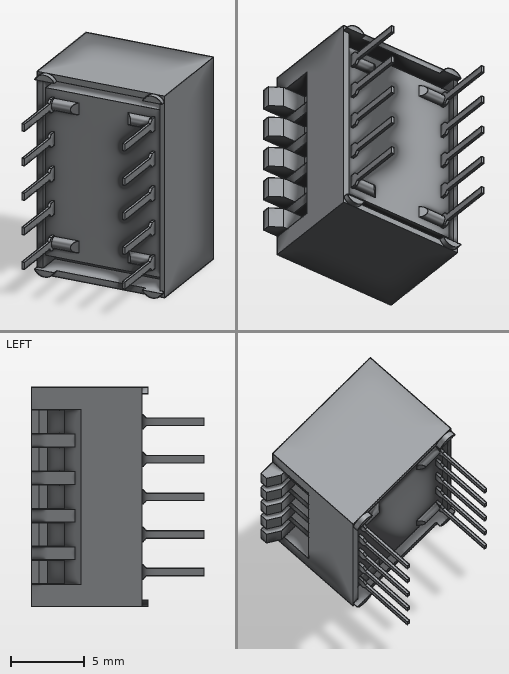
import cadquery as cq
import math


HEIGHT = 14.88
WIDTH = 9.64
DEPTH = 7.51
END_WALL = 0.46
LEVER_SIDE_WALL = 0.46
PLAIN_SIDE_WALL = 0.35
CAVITY_DEPTH = 1.79
LEVER_FACE_X = -WIDTH / 2
FRONT_Y = -DEPTH

POLE_COUNT = 5
POLE_PITCH = 2.55
POLE_HEIGHTS = [(i - (POLE_COUNT - 1) / 2) * POLE_PITCH for i in range(POLE_COUNT)]

SLOT_HEIGHT = 1.68
RIB_HEIGHT = POLE_PITCH - SLOT_HEIGHT
RIB_INSET = 0.65
WINDOW_HEIGHT = (POLE_COUNT - 1) * POLE_PITCH + SLOT_HEIGHT
WINDOW_DEPTH = 3.36
WINDOW_INSET = 2.38

LEVER_HEIGHT = 1.58
LEVER_PROTRUSION = 1.15
LEVER_TIP_DEPTH = 0.52
LEVER_BEVEL_LENGTH = 0.88
LEVER_ARM_DEPTH = 1.09
LEVER_ARM_INSET = 1.49
LEVER_HEEL_DEPTH = 2.23
LEVER_HOLLOW_ANGLE = math.radians(35)
LEVER_HOLLOW_RADIUS = (LEVER_HEEL_DEPTH - LEVER_ARM_DEPTH) / math.sin(LEVER_HOLLOW_ANGLE)
LEVER_HEEL_INSET = LEVER_ARM_INSET + LEVER_HOLLOW_RADIUS * (1 - math.cos(LEVER_HOLLOW_ANGLE))

WINDOW_SLOPE = (WINDOW_DEPTH - LEVER_HEEL_DEPTH) / LEVER_HEEL_INSET
WINDOW_INNER_DEPTH = WINDOW_DEPTH - WINDOW_SLOPE * WINDOW_INSET

FOOT_WIDTH = 1.49
FOOT_LENGTH = 0.4

BASE_RECESS = 0.39
BASE_END_GAP = 0.8
BASE_SIDE_GAP = 0.06
BASE_FACE_Y = FRONT_Y + BASE_RECESS
BASE_BACK_Y = FRONT_Y + CAVITY_DEPTH

PIN_ROW_SPACING = 7.62
PIN_THICKNESS = 0.2
PIN_TIP_Y = -11.71
PIN_STEM_WIDTH = 0.52
PIN_ROOT_WIDTH = 1.0
PIN_TAPER_START_Y = FRONT_Y - 0.05
PIN_TAPER_END_Y = PIN_TAPER_START_Y - (PIN_ROOT_WIDTH - PIN_STEM_WIDTH) / 2

BOSS_RADIUS = 0.43
BOSS_REACH = 1.96


def box(x_min, x_max, y_min, y_max, z_min, z_max):
    """Block between the given limits."""
    size = (x_max - x_min, y_max - y_min, z_max - z_min)
    return cq.Workplane("XY").box(*size, centered=False).translate((x_min, y_min, z_min))


def extrude_in_z(profile, height, z_centre):
    """Extrude an XY profile symmetrically about a height."""
    return profile.extrude(height / 2, both=True).translate((0, 0, z_centre))


def make_lever_window():
    """Opening for the levers, open at the back, less the ribs between the poles."""
    profile = (
        cq.Workplane("XY")
        .moveTo(LEVER_FACE_X, 0)
        .lineTo(LEVER_FACE_X, -WINDOW_DEPTH)
        .lineTo(LEVER_FACE_X + WINDOW_INSET, -WINDOW_INNER_DEPTH)
        .lineTo(LEVER_FACE_X + WINDOW_INSET, 0)
        .close()
    )
    window = extrude_in_z(profile, WINDOW_HEIGHT, 0)
    for lower, upper in zip(POLE_HEIGHTS, POLE_HEIGHTS[1:]):
        middle = (lower + upper) / 2
        rib = box(
            LEVER_FACE_X + RIB_INSET, LEVER_FACE_X + WINDOW_INSET,
            -WINDOW_DEPTH, 0,
            middle - RIB_HEIGHT / 2, middle + RIB_HEIGHT / 2,
        )
        window = window.cut(rib)
    return window


def make_foot(x_sign, z_sign):
    """Standoff at a corner: a circular segment whose chord is the inner edge of the end wall."""
    corner_x = x_sign * WIDTH / 2
    crest_x = corner_x - x_sign * FOOT_WIDTH / 2
    inner_x = corner_x - x_sign * FOOT_WIDTH
    crest_z = z_sign * HEIGHT / 2
    chord_z = crest_z - z_sign * END_WALL
    return (
        cq.Workplane("XZ", origin=(0, FRONT_Y, 0))
        .moveTo(corner_x, chord_z)
        .threePointArc((crest_x, crest_z), (inner_x, chord_z))
        .close()
        .extrude(FOOT_LENGTH)
    )


def make_housing():
    shell = box(-WIDTH / 2, WIDTH / 2, FRONT_Y, 0, -HEIGHT / 2, HEIGHT / 2)
    cavity = box(
        -WIDTH / 2 + LEVER_SIDE_WALL, WIDTH / 2 - PLAIN_SIDE_WALL,
        FRONT_Y, BASE_BACK_Y,
        -HEIGHT / 2 + END_WALL, HEIGHT / 2 - END_WALL,
    )
    shell = shell.cut(cavity).cut(make_lever_window())
    for x_sign in (-1, 1):
        for z_sign in (-1, 1):
            shell = shell.union(make_foot(x_sign, z_sign))
    return shell


def make_lever(z_centre):
    """Lever with a bevelled tip outside the housing and a hollow-curved heel inside it."""
    tip_x = LEVER_FACE_X - LEVER_PROTRUSION
    arm_end_x = LEVER_FACE_X + LEVER_ARM_INSET
    heel_x = LEVER_FACE_X + LEVER_HEEL_INSET
    inner_x = LEVER_FACE_X + WINDOW_INSET
    half_angle = LEVER_HOLLOW_ANGLE / 2
    hollow_middle = (
        heel_x - LEVER_HOLLOW_RADIUS * (1 - math.cos(half_angle)),
        -LEVER_HEEL_DEPTH + LEVER_HOLLOW_RADIUS * math.sin(half_angle),
    )
    profile = (
        cq.Workplane("XY")
        .moveTo(tip_x, 0)
        .lineTo(tip_x, -LEVER_TIP_DEPTH)
        .lineTo(tip_x + LEVER_BEVEL_LENGTH, -LEVER_ARM_DEPTH)
        .lineTo(arm_end_x, -LEVER_ARM_DEPTH)
        .threePointArc(hollow_middle, (heel_x, -LEVER_HEEL_DEPTH))
        .lineTo(inner_x, -WINDOW_INNER_DEPTH)
        .lineTo(inner_x, 0)
        .close()
    )
    return extrude_in_z(profile, LEVER_HEIGHT, z_centre)


def make_pin(x_centre, z_centre):
    """Flat pin with a wide root that tapers to a narrow stem."""
    half_root = PIN_ROOT_WIDTH / 2
    half_stem = PIN_STEM_WIDTH / 2
    outline = [
        (BASE_FACE_Y, -half_root),
        (PIN_TAPER_START_Y, -half_root),
        (PIN_TAPER_END_Y, -half_stem),
        (PIN_TIP_Y, -half_stem),
        (PIN_TIP_Y, half_stem),
        (PIN_TAPER_END_Y, half_stem),
        (PIN_TAPER_START_Y, half_root),
        (BASE_FACE_Y, half_root),
    ]
    pin = cq.Workplane("YZ").polyline(outline).close().extrude(PIN_THICKNESS / 2, both=True)
    return pin.translate((x_centre, 0, z_centre))


def make_boss(x_sign, z_centre):
    """Half-round boss running inwards from a pin, with its inner end sloped at 45 degrees."""
    pin_x = PIN_ROW_SPACING / 2
    profile = [
        (pin_x, BASE_FACE_Y),
        (pin_x - BOSS_REACH, BASE_FACE_Y),
        (pin_x - BOSS_REACH + BOSS_RADIUS, BASE_FACE_Y - BOSS_RADIUS),
        (pin_x, BASE_FACE_Y - BOSS_RADIUS),
    ]
    sloped_block = cq.Workplane("XY").polyline(profile).close().extrude(BOSS_RADIUS, both=True)
    rod = (
        cq.Workplane("YZ", origin=(pin_x - BOSS_REACH, BASE_FACE_Y, 0))
        .circle(BOSS_RADIUS)
        .extrude(BOSS_REACH)
    )
    boss = rod.intersect(sloped_block)
    if x_sign < 0:
        boss = boss.mirror("YZ")
    return boss.translate((0, 0, z_centre))


def make_base():
    """Base block in the cavity, carrying both rows of pins."""
    half_height = HEIGHT / 2 - END_WALL - BASE_END_GAP
    base = box(
        -WIDTH / 2 + LEVER_SIDE_WALL, WIDTH / 2 - PLAIN_SIDE_WALL - BASE_SIDE_GAP,
        BASE_FACE_Y, BASE_BACK_Y,
        -half_height, half_height,
    )
    for x_sign in (-1, 1):
        for z_centre in POLE_HEIGHTS:
            base = base.union(make_pin(x_sign * PIN_ROW_SPACING / 2, z_centre))
        for z_centre in (POLE_HEIGHTS[0], POLE_HEIGHTS[-1]):
            base = base.union(make_boss(x_sign, z_centre))
    return base


housing = make_housing()
base = make_base()
levers = [make_lever(z_centre) for z_centre in POLE_HEIGHTS]

result = cq.Compound.makeCompound([housing.val(), base.val(), *[lever.val() for lever in levers]])